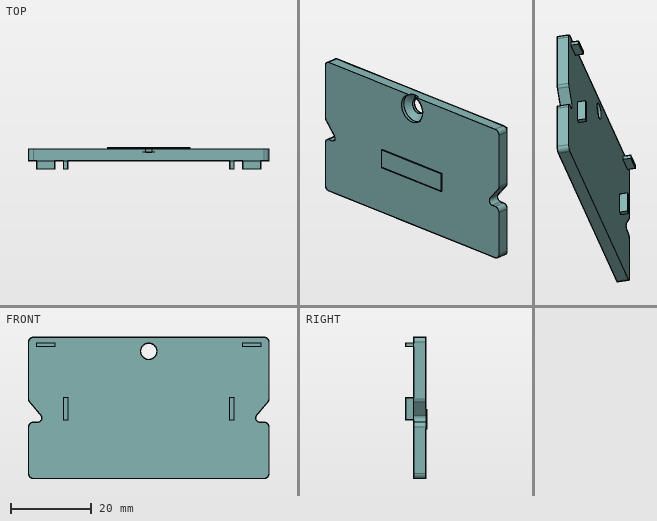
import cadquery as cq

plate_width = 59.5
plate_height = 35.0
plate_thickness = 3.0
corner_radius = 1.25
half_width = plate_width / 2
top_edge = plate_height / 2

notch_start_drop = 15.7
notch_floor_drop = 21.0
notch_reach = 4.45
notch_root_radius = 1.0

hole_drop = 3.5
hole_diameter = 4.0
lip_depth = 0.7
counterbore_diameter = 7.2
counterbore_depth = 0.85

tab_projection = 2.0
upper_tab_inset = 2.0
upper_tab_drop = 1.4
upper_tab_length = 4.5
upper_tab_thickness = 0.95
lower_tab_inset = 8.6
lower_tab_drop = 15.0
lower_tab_length = 5.5
lower_tab_thickness = 1.15

label_width = 20.4
label_height = 4.8
label_drop = 17.85
label_thickness = 0.3


def block(left, top, width, height, front, depth):
    """Box given by its upper left corner, running from Y = front toward +Y."""
    return cq.Workplane("XY").box(width, depth, height, centered=False).translate((left, front, top - height))


def make_hole():
    """Cutter for the lip, cone and counterbore, turned about an axis along Y."""
    hole_radius = hole_diameter / 2
    counterbore_radius = counterbore_diameter / 2
    cone_end = plate_thickness - counterbore_depth
    half_section = [
        (0, 0),
        (hole_radius, 0),
        (hole_radius, lip_depth),
        (counterbore_radius, cone_end),
        (counterbore_radius, plate_thickness),
        (0, plate_thickness),
    ]
    cutter = cq.Workplane("XY").polyline(half_section).close().revolve(360, (0, 0), (0, 1))
    return cutter.translate((0, 0, top_edge - hole_drop))


def make_notch():
    """Sharp-mouthed notch cutter for the left edge, with a rounded root."""
    points = [
        (-half_width, top_edge - notch_start_drop),
        (-half_width + notch_reach, top_edge - notch_floor_drop),
        (-half_width, top_edge - notch_floor_drop),
    ]
    wedge = cq.Workplane("XZ").polyline(points).close().extrude(-plate_thickness)
    return wedge.edges("|Y and >X").fillet(notch_root_radius)


def make_plate():
    """Plate with both side notches and every outer corner rounded."""
    plate = block(-half_width, top_edge, plate_width, plate_height, 0, plate_thickness)
    notch = make_notch()
    plate = plate.cut(notch).cut(notch.mirror("YZ"))
    return plate.edges("|Y and (<X or >X)").fillet(corner_radius)


def make_tabs():
    """Left-hand pair of tabs: one lying flat near the top, one upright below it."""
    upper = block(
        -half_width + upper_tab_inset, top_edge - upper_tab_drop,
        upper_tab_length, upper_tab_thickness, -tab_projection, tab_projection,
    )
    lower = block(
        -half_width + lower_tab_inset, top_edge - lower_tab_drop,
        lower_tab_thickness, lower_tab_length, -tab_projection, tab_projection,
    )
    return upper, lower


result = make_plate()

for tab in make_tabs():
    result = result.union(tab).union(tab.mirror("YZ"))

result = result.union(
    block(-label_width / 2, top_edge - label_drop, label_width, label_height, plate_thickness, label_thickness)
)

result = result.cut(make_hole())